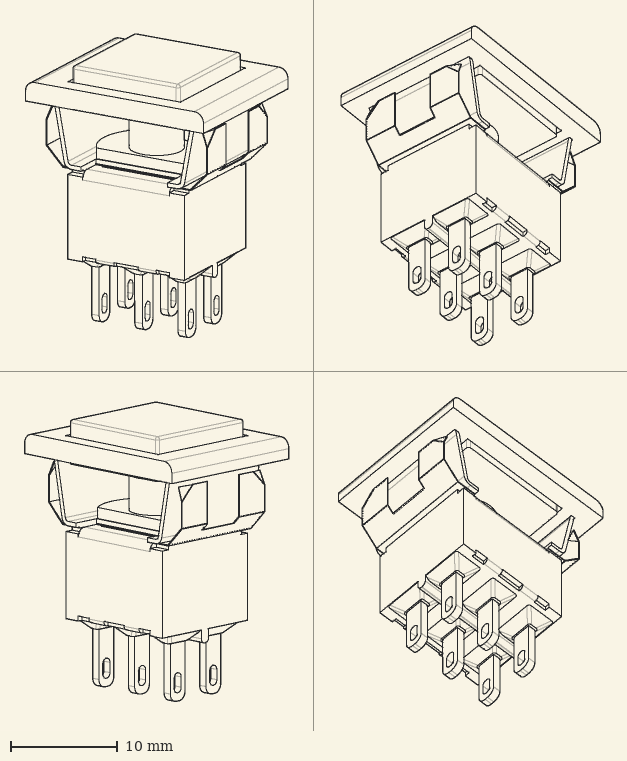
import cadquery as cq
import math


BEZEL_X = 19.4
BEZEL_Y = 15.7
BEZEL_T = 2.0
BEZEL_BOTTOM = 22.38
BEZEL_ROUND = BEZEL_T / 2
WINDOW_X = 12.21
WINDOW_Y = 12.03

CAP_SIDE = 11.65
CAP_TOP = 25.93
CAP_BOTTOM = 21.68
CAP_ROUND = 0.29
STEM_D = 2.95
BUSHING_D = 5.2
BUSHING_TOP = 20.7

CASE_X = 12.7
CASE_Y = 11.44
CASE_BOTTOM = 6.72
CASE_TOP = 15.64
MIDDLE_HALF_X = 4.72
TOP_ROUND = 0.83
CORNER_STEP_Y = 0.85
CORNER_STEP_Z = 0.55
RECESS_DEPTH = 0.52
RECESS_HEIGHT = 0.5
TAB_INNER_X = 1.32
TAB_OUTER_X = 3.3
TAB_HEIGHT = 0.41
RIB_W = 0.99
RIB_BOTTOM = 5.42
RIB_ROUND = 0.47

PLATFORM_TOP = 17.25
PLATFORM_Y = 6.22
PLATFORM_HALF_X = 5.75

CLIP_T = 0.1
CLIP_Y = 11.1
CLIP_FOOT_X = 6.95
CLIP_OUTER_X = 8.8
CLIP_KNEE_Z = 17.53
CLIP_TOP = 21.6
CLIP_SLOT_W = 4.23
CLIP_SLOT_BOTTOM = 16.83
CLIP_CORNER = 1.48
CLIP_FOLD_ANGLE = 32
CLIP_WAIST_Y = 6.59
CLIP_TONGUE_X = 7.68
CLIP_TONGUE_Y = 7.05

BRACKET_T = 0.45
BRACKET_Y = WINDOW_Y
BRACKET_WAIST_Y = 6.48
BRACKET_BOTTOM = CASE_TOP + CLIP_T
BRACKET_FOOT_X = 6.43
BRACKET_KINK_X = 7.57
BRACKET_KINK_Z = 21.78
BRACKET_TOP_X = 7.78
BRACKET_BOW = 0.05
BRACKET_BEND = 0.83

TERMINAL_PITCH_X = 4.7
TERMINAL_PITCH_Y = 4.77
TERMINAL_T = 0.83
TERMINAL_W = 2.0
TERMINAL_ROUND = 0.83
EYE_W = 0.93
EYE_BOTTOM = 0.8
EYE_TOP = 2.72
SEAL_X = 3.2
SEAL_Y = 4.6
SEAL_ROUND = 0.4
SEAL_H = 1.05


def box(size_x, size_y, bottom, top):
    """Block centred on the Z axis between two heights."""
    return cq.Workplane("XY").workplane(offset=bottom).rect(size_x, size_y).extrude(top - bottom)


def cylinder(diameter, bottom, top):
    """Round bar on the Z axis between two heights."""
    return cq.Workplane("XY").workplane(offset=bottom).circle(diameter / 2).extrude(top - bottom)


def both_sides(body, plane):
    """Body together with its mirror image."""
    return body.union(body.mirror(plane))


def make_bezel():
    bezel = box(BEZEL_X, BEZEL_Y, BEZEL_BOTTOM, BEZEL_BOTTOM + BEZEL_T)
    bezel = bezel.faces(">Z").edges("|Y").fillet(BEZEL_ROUND)
    return bezel.cut(box(WINDOW_X, WINDOW_Y, BEZEL_BOTTOM, BEZEL_BOTTOM + BEZEL_T))


def make_button():
    cap = box(CAP_SIDE, CAP_SIDE, CAP_BOTTOM, CAP_TOP)
    cap = cap.edges("|Z or >Z").fillet(CAP_ROUND)
    stem = cylinder(STEM_D, BUSHING_TOP, CAP_BOTTOM)
    bushing = cylinder(BUSHING_D, PLATFORM_TOP, BUSHING_TOP)
    return cap.union(stem).union(bushing)


def make_platform():
    half_y = PLATFORM_Y / 2
    return (
        cq.Workplane("XY").workplane(offset=CASE_TOP)
        .moveTo(-MIDDLE_HALF_X, -half_y)
        .lineTo(MIDDLE_HALF_X, -half_y)
        .threePointArc((PLATFORM_HALF_X, 0), (MIDDLE_HALF_X, half_y))
        .lineTo(-MIDDLE_HALF_X, half_y)
        .threePointArc((-PLATFORM_HALF_X, 0), (-MIDDLE_HALF_X, -half_y))
        .close()
        .extrude(PLATFORM_TOP - CASE_TOP)
    )


def make_case():
    middle_x = 2 * MIDDLE_HALF_X
    middle = box(middle_x, CASE_Y, CASE_BOTTOM, CASE_TOP)
    middle = middle.faces(">Z").edges("|X").fillet(TOP_ROUND)
    middle = middle.cut(
        box(middle_x, CASE_Y, CASE_BOTTOM, CASE_BOTTOM + RECESS_HEIGHT)
        .cut(box(middle_x, CASE_Y - 2 * RECESS_DEPTH, CASE_BOTTOM, CASE_BOTTOM + RECESS_HEIGHT))
    )
    ends = box(CASE_X, CASE_Y - 2 * CORNER_STEP_Y, CASE_BOTTOM, CASE_TOP)
    ends = ends.union(box(CASE_X, CASE_Y, CASE_BOTTOM, CASE_TOP - CORNER_STEP_Z))
    ends = ends.cut(box(middle_x, CASE_Y, CASE_BOTTOM, CASE_TOP))

    tab_length = TAB_OUTER_X - TAB_INNER_X
    for side in (-1, 1):
        tab = (
            box(tab_length, CASE_Y, CASE_BOTTOM, CASE_BOTTOM + RECESS_HEIGHT)
            .faces("<Z").edges("|X").fillet(TAB_HEIGHT)
            .translate((side * (TAB_INNER_X + tab_length / 2), 0, 0))
        )
        middle = middle.union(tab)

    rib = box(CASE_X, RIB_W, RIB_BOTTOM, CASE_BOTTOM)
    rib = rib.faces("<Z").edges("|X").fillet(RIB_ROUND)
    return middle.union(ends).union(rib)


def make_clip():
    half_y = CLIP_Y / 2
    base = box(2 * CLIP_FOOT_X, CLIP_Y, CASE_TOP, CASE_TOP + CLIP_T)
    base = base.cut(box(2 * MIDDLE_HALF_X, CLIP_Y, CASE_TOP, CASE_TOP + CLIP_T))
    base = base.union(box(2 * MIDDLE_HALF_X, CLIP_WAIST_Y, CASE_TOP, CASE_TOP + CLIP_T))
    base = base.union(box(CLIP_TONGUE_X, CLIP_TONGUE_Y, CASE_TOP, CASE_TOP + CLIP_T))

    miter = CLIP_T * math.tan(math.radians(45 / 2))
    inner_x = CLIP_OUTER_X - CLIP_T
    wing = (
        cq.Workplane("XZ")
        .polyline([
            (MIDDLE_HALF_X, CASE_TOP),
            (CLIP_FOOT_X, CASE_TOP),
            (CLIP_OUTER_X, CLIP_KNEE_Z),
            (CLIP_OUTER_X, CLIP_TOP),
            (inner_x, CLIP_TOP),
            (inner_x, CLIP_KNEE_Z + miter),
            (CLIP_FOOT_X - miter, CASE_TOP + CLIP_T),
            (MIDDLE_HALF_X, CASE_TOP + CLIP_T),
        ])
        .close()
        .extrude(half_y, both=True)
    )
    slot_height = CLIP_TOP - CLIP_SLOT_BOTTOM
    slot = cq.Workplane("XY").box(2 * (CLIP_OUTER_X - CLIP_FOOT_X), CLIP_SLOT_W, slot_height)
    wing = wing.cut(slot.translate((CLIP_OUTER_X, 0, CLIP_SLOT_BOTTOM + slot_height / 2)))

    fold_low = (CLIP_OUTER_X, half_y, CLIP_TOP - CLIP_CORNER)
    fold_high = (CLIP_OUTER_X, half_y - CLIP_CORNER, CLIP_TOP)
    corner = (
        cq.Workplane("YZ").workplane(offset=inner_x)
        .polyline([fold_low[1:], (half_y, CLIP_TOP), fold_high[1:]])
        .close()
        .extrude(CLIP_T)
    )
    folded = corner.rotate(fold_low, fold_high, CLIP_FOLD_ANGLE)
    wing = wing.cut(both_sides(corner, "XZ")).union(both_sides(folded, "XZ"))
    return base.union(both_sides(wing, "YZ"))


def make_bracket():
    base_top = BRACKET_BOTTOM + BRACKET_T
    lean = math.atan2(BRACKET_KINK_X - BRACKET_FOOT_X, BRACKET_KINK_Z - BRACKET_BOTTOM)
    arm_t = BRACKET_T / math.cos(lean)
    inner_foot_x = BRACKET_FOOT_X + BRACKET_T * math.tan(lean) - arm_t
    bow_x = (BRACKET_KINK_X + BRACKET_TOP_X) / 2 - BRACKET_BOW
    bow_z = (BRACKET_KINK_Z + BEZEL_BOTTOM) / 2
    arm = (
        cq.Workplane("XZ")
        .moveTo(MIDDLE_HALF_X, BRACKET_BOTTOM)
        .lineTo(BRACKET_FOOT_X, BRACKET_BOTTOM)
        .lineTo(BRACKET_KINK_X, BRACKET_KINK_Z)
        .threePointArc((bow_x, bow_z), (BRACKET_TOP_X, BEZEL_BOTTOM))
        .lineTo(BRACKET_TOP_X - arm_t, BEZEL_BOTTOM)
        .threePointArc((bow_x - arm_t, bow_z), (BRACKET_KINK_X - arm_t, BRACKET_KINK_Z))
        .lineTo(inner_foot_x, base_top)
        .lineTo(MIDDLE_HALF_X, base_top)
        .close()
        .extrude(BRACKET_Y / 2, both=True)
    )
    outer_foot = cq.selectors.NearestToPointSelector((BRACKET_FOOT_X, 0, BRACKET_BOTTOM))
    inner_foot = cq.selectors.NearestToPointSelector((inner_foot_x, 0, base_top))
    arm = arm.edges("|Y").edges(outer_foot).fillet(BRACKET_BEND)
    arm = arm.edges("|Y").edges(inner_foot).fillet(BRACKET_BEND - BRACKET_T)
    waist = box(2 * MIDDLE_HALF_X, BRACKET_WAIST_Y, BRACKET_BOTTOM, base_top)
    return both_sides(arm, "YZ").union(waist)


def make_terminal():
    blade = (
        cq.Workplane("XY").box(TERMINAL_T, TERMINAL_W, CASE_BOTTOM, centered=(True, True, False))
        .faces("<Z").edges("|X").fillet(TERMINAL_ROUND)
    )
    eye = (
        cq.Workplane("YZ").center(0, (EYE_BOTTOM + EYE_TOP) / 2)
        .slot2D(EYE_TOP - EYE_BOTTOM, EYE_W, 90)
        .extrude(TERMINAL_T, both=True)
    )
    seal = (
        cq.Workplane("XY").workplane(offset=CASE_BOTTOM)
        .rect(SEAL_X, SEAL_Y)
        .extrude(-SEAL_H, taper=45)
        .edges("not #Z").fillet(SEAL_ROUND)
    )
    return blade.cut(eye).union(seal)


result = make_case()
for body in (make_platform(), make_clip(), make_bracket(), make_bezel(), make_button()):
    result = result.union(body)

terminal = make_terminal()
for column in (-1, 0, 1):
    for row in (-0.5, 0.5):
        result = result.union(terminal.translate((column * TERMINAL_PITCH_X, row * TERMINAL_PITCH_Y, 0)))